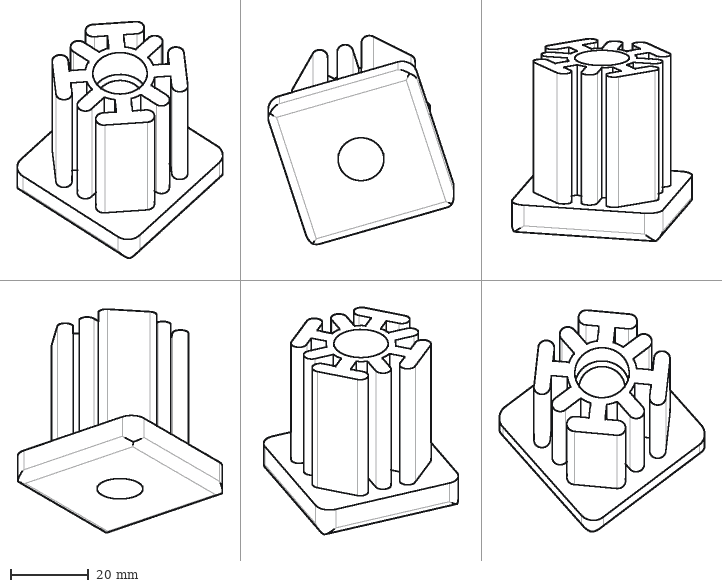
import cadquery as cq
import math

total_height = 43.0
base_side = 40.0
base_height = 8.0
base_corner_radius = 4.0
base_bottom_radius = 2.5

hub_diameter = 18.0
rib_width = 4.15
rib_span = 32.03
crossbar_distance = 15.0
crossbar_length = 15.2

bore_diameter = 14.0
through_diameter = 11.82
bore_depth = 8.73
shoulder_angle = 45.0

rib_count = 4
post_height = total_height - base_height
rib_angle_step = 360.0 / rib_count


def make_base():
    """Square foot with rolled bottom edges that meet in mitres, cut to round vertical corners."""
    block = (
        cq.Workplane("XY")
        .rect(base_side, base_side)
        .extrude(base_height)
        .faces("<Z")
        .edges()
        .fillet(base_bottom_radius)
    )
    rounded_prism = (
        cq.Workplane("XY")
        .rect(base_side, base_side)
        .extrude(base_height)
        .edges("|Z")
        .fillet(base_corner_radius)
    )
    return block.intersect(rounded_prism)


def post_plane():
    return cq.Workplane("XY").workplane(offset=base_height)


def make_t_rib():
    """Straight stem along +X ending in a round-ended crossbar."""
    stem = (
        post_plane()
        .center(crossbar_distance / 2, 0)
        .rect(crossbar_distance, rib_width)
        .extrude(post_height)
    )
    crossbar = (
        post_plane()
        .center(crossbar_distance, 0)
        .slot2D(crossbar_length, rib_width, 90)
        .extrude(post_height)
    )
    return stem.union(crossbar)


def make_post():
    """Round hub with straight ribs along X and Y and T-shaped ribs on the diagonals."""
    post = post_plane().circle(hub_diameter / 2).extrude(post_height)
    for rib_angle in (0, 90):
        post = post.union(post_plane().slot2D(rib_span, rib_width, rib_angle).extrude(post_height))
    t_rib = make_t_rib()
    for index in range(rib_count):
        angle = (index + 0.5) * rib_angle_step
        post = post.union(t_rib.rotate((0, 0, 0), (0, 0, 1), angle))
    return post


def make_bore():
    """Stepped through-hole as a revolved half profile (radius, height)."""
    bore_radius = bore_diameter / 2
    through_radius = through_diameter / 2
    shoulder_top = total_height - bore_depth
    shoulder_drop = (bore_radius - through_radius) * math.tan(math.radians(shoulder_angle))
    return (
        cq.Workplane("XZ")
        .moveTo(0, 0)
        .lineTo(through_radius, 0)
        .lineTo(through_radius, shoulder_top - shoulder_drop)
        .lineTo(bore_radius, shoulder_top)
        .lineTo(bore_radius, total_height)
        .lineTo(0, total_height)
        .close()
        .revolve(360, (0, 0, 0), (0, 1, 0))
    )


result = make_base().union(make_post()).cut(make_bore())